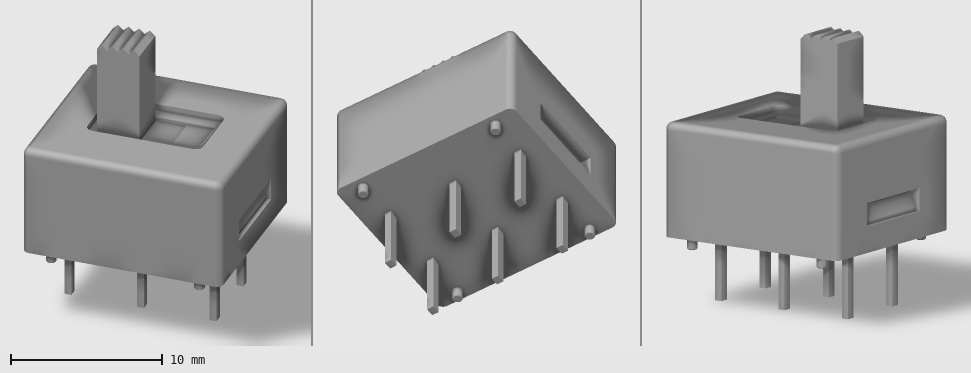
import cadquery as cq


overall_height = 18.4

body_length = 14.0
body_width = 12.8
body_height = 7.73
edge_radius = 0.5

recess_length = 8.13
recess_width = 4.9
recess_depth = 0.5
recess_radius = 0.55
window_length = 7.1
window_width = 3.2
window_depth = 0.2

knob_size = 2.98
knob_height = 6.0
tooth_count = 4
tooth_height = 0.33
slot_length = 5.15
slot_width = 3.1
slot_depth = 0.1

opening_width = 6.0
opening_height = 1.58
opening_bottom = 1.78
opening_depth = 0.74
catch_side_gap = 0.07
catch_lip_height = 0.22
catch_slope_height = 1.01
catch_thickness = 0.45

pin_size_x = 0.5
pin_size_y = 0.63
pin_length = overall_height - body_height - knob_height
pin_pitch = 5.1
row_spacing = 5.06
pin_columns = 3
pin_rows = 2

foot_diameter = 0.7
foot_height = 0.74
foot_spacing_x = 10.41
foot_spacing_y = 11.32
foot_chamfer = 0.05

window_floor = body_height - recess_depth - window_depth
slot_floor = window_floor - slot_depth
knob_left = -window_length / 2
knob_right = knob_left + knob_size


def make_housing():
    """Block with rounded upright and top edges and a sharp bottom rim."""
    block = cq.Workplane("XY").box(
        body_length, body_width, body_height, centered=(True, True, False)
    )
    return block.edges("|Z or >Z").fillet(edge_radius)


def make_recess():
    """Rounded recess and window, with the slot in its floor, as one cutter."""
    recess = (
        cq.Workplane("XY", origin=(0, 0, body_height - recess_depth))
        .rect(recess_length, recess_width)
        .extrude(recess_depth)
        .edges("|Z")
        .fillet(recess_radius)
    )
    window = (
        cq.Workplane("XY", origin=(0, 0, window_floor))
        .rect(window_length, window_width)
        .extrude(window_depth)
    )
    slot = (
        cq.Workplane("XY", origin=(knob_left + slot_length / 2, 0, slot_floor))
        .rect(slot_length, slot_width)
        .extrude(slot_depth)
    )
    return recess.union(window).union(slot)


def make_knob():
    """Square knob with V-shaped grip teeth across its top."""
    top = body_height + knob_height
    half_pitch = knob_size / tooth_count / 2
    valley = top - tooth_height
    outline = [(knob_right, slot_floor), (knob_left, slot_floor), (knob_left, valley)]
    for tooth in range(tooth_count):
        peak_x = knob_left + (2 * tooth + 1) * half_pitch
        outline += [(peak_x, top), (peak_x + half_pitch, valley)]
    return cq.Workplane("XZ").polyline(outline).close().extrude(knob_size / 2, both=True)


def make_latch_pocket():
    """Space left open around the catch in the -X wall, as a cutter."""
    outer_x = -body_length / 2
    back_x = outer_x + opening_depth
    pocket = cq.Workplane("XY", origin=(outer_x, 0, opening_bottom)).box(
        opening_depth, opening_width, opening_height, centered=(False, True, False)
    )
    lip_x = back_x - catch_thickness
    lip_top = opening_bottom + catch_lip_height
    catch_outline = [
        (back_x, opening_bottom),
        (lip_x, opening_bottom),
        (lip_x, lip_top),
        (back_x, lip_top + catch_slope_height),
    ]
    catch = (
        cq.Workplane("XZ")
        .polyline(catch_outline)
        .close()
        .extrude(opening_width / 2 - catch_side_gap, both=True)
    )
    return pocket.cut(catch)


def make_pins():
    """Rectangular terminal pins hanging below the housing."""
    return (
        cq.Workplane("XY")
        .rarray(pin_pitch, row_spacing, pin_columns, pin_rows)
        .rect(pin_size_x, pin_size_y)
        .extrude(-pin_length)
    )


def make_feet():
    """Round feet with a small chamfer around the lower rim."""
    return (
        cq.Workplane("XY")
        .rarray(foot_spacing_x, foot_spacing_y, 2, 2)
        .circle(foot_diameter / 2)
        .extrude(-foot_height)
        .faces("<Z")
        .edges()
        .chamfer(foot_chamfer)
    )


latch_pocket = make_latch_pocket()
housing = make_housing().cut(make_recess()).cut(latch_pocket).cut(latch_pocket.mirror("YZ"))
result = housing.union(make_knob()).union(make_pins()).union(make_feet())